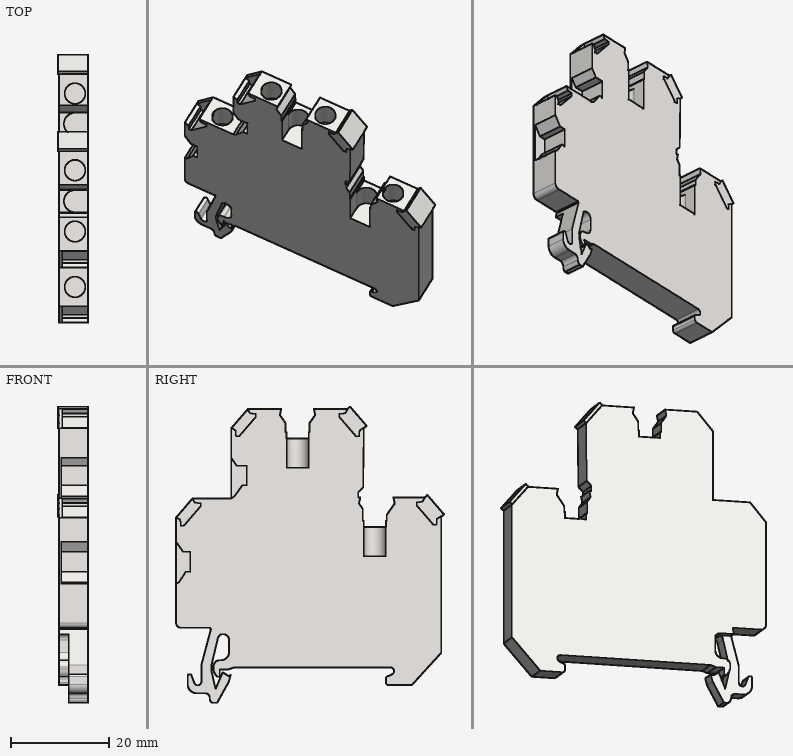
import cadquery as cq
import math


thickness = 6.0
housing_length = 54.05
upper_top = 59.87
rear_top = 41.86
front_top = 41.67
tower_front = 11.25
tower_rear = 38.3
tower_rear_taper = 0.15
corner_run = 3.4
corner_drop = 3.95

relief_top = 43.9
relief_depth_y = 37.15
relief_bevel = 1.0
relief_seat_y = 37.55

block_bottom = 15.26
block_radius = 1.1
rail_seat = 7.18
rear_bevel_start = 10.2
rear_foot_bottom = 3.62
rear_foot_outer = 48.05
rear_foot_inner = 42.75
rear_foot_top = 5.5
rear_foot_radius = 0.55
rail_slot_end = 44.4
rail_slot_radius = 0.7
rail_slot_start_angle = -70

window_rear = 10.8
window_top = 13.95
window_top_radius = 1.1
window_low_radius = 1.6
ledge_top = 8.73
hook_front = 7.62
hook_radius = 1.35
hook_rear = 8.93
hook_bottom = 5.3
hook_tip_radius = 2.1
hook_tip_start = 7.0
step_z = 6.8
step_start = 11.8
step_end = 10.7

foot_side_gap = 2.0
neck_top = (7.1, 15.0)
neck_chamfer = 0.15
shank_front = 5.17
shank_bend_z = 7.75
shank_rear_top = (8.55, 13.1)
shank_round_middle = (8.8, 13.65)
shank_round_start_y = 9.25
shank_rear_bend_y = 7.25
shank_rear_bend_z = (7.65, 6.55)
spring_root = (8.08, 2.9)
latch_inner = (9.5, 6.25)
latch_notch = (10.7, 5.5)
latch_tip = (11.17, 5.7)
latch_outer = (10.8, 4.3)
toe_rear = (8.4, 0.0)
toe_front_y = 6.86
toe_radius = 1.0
toe_turn = 65
lever_bottom = 1.95
lever_fillet = 0.9
lever_front = 2.37
lever_radius = 1.85
lever_top = 5.87
lever_tip_width = 0.86
lever_tip_rounding = 0.4
finger_groove_end = (3.75, 4.15)
finger_groove_bottom = (4.5, 3.6)
finger_groove_start_z = 4.25

screw_x = 3.3
screw_diameter = 4.2
screw_depth = 6.0
screw_sites = [(46.7, rear_top), (31.06, upper_top), (18.6, upper_top), (7.3, front_top)]

notch_depth = 6.0
notch_floor_half = 2.25
notch_wall_half = 2.42
notch_ledge = 1.25
notch_throat = 4.75
notch_funnel_slope = 0.7
notch_undercut = 0.27
upper_notch_y = 24.77
upper_notch_half = 3.57
rear_notch_y = 40.51
rear_notch_half = 4.02
rear_notch_half_tower = 3.2
notch_slot_depth = 6.0

recess_wall = 0.5
recess_sill = 0.65
recess_ceiling_slope = 0.7
recess_ledge = 0.9
upper_recess = dict(
    face_y=tower_front,
    depth=3.18,
    top_z=49.93,
    back_top_z=48.25,
    ledge_z=44.3,
    ramp_z=42.06,
    sill_z=front_top,
)
lower_recess = dict(
    face_y=0,
    depth=2.9,
    top_z=32.87,
    back_top_z=30.8,
    ledge_z=26.68,
    ramp_z=24.6,
    sill_z=24.25,
)

flange = 0.75
lip_tip = 0.02
lip_edge = (0.45, 0.9)
lip_root = (1.65, 1.0)
slot_floor = (1.65, 1.6)
tag_thickness = 0.74
tag_overhang = 0.2
empty_slot_sites = [(0, front_top), (tower_front, upper_top)]
tag_sites = [(tower_rear, upper_top), (housing_length, rear_top)]


def extrude_profile(profile, start, end):
    """Solid between two X positions from a closed YZ profile."""
    return profile.close().extrude(end - start).translate((start, 0, 0))


def yz(point):
    return cq.Workplane("YZ").moveTo(*point)


def arc(profile, centre, radius, start_angle, end_angle):
    """Line to the start of a circular arc, then the arc; angles in degrees from +Y."""
    def at(angle):
        turn = math.radians(angle)
        return (centre[0] + radius * math.cos(turn), centre[1] + radius * math.sin(turn))

    middle = (start_angle + end_angle) / 2
    return profile.lineTo(*at(start_angle)).threePointArc(at(middle), at(end_angle))


def neck_edge_y(z):
    """Slanted -Y edge shared by the neck and the spring foot."""
    top_y, top_z = neck_top
    share = (top_z - z) / (top_z - shank_bend_z)
    return top_y + share * (shank_front - top_y)


def housing_body():
    relief_rear = tower_rear - tower_rear_taper
    outline = (
        yz((0, front_top - corner_drop))
        .lineTo(corner_run, front_top)
        .lineTo(tower_front, front_top)
        .lineTo(tower_front, upper_top - corner_drop)
        .lineTo(tower_front + corner_run, upper_top)
        .lineTo(tower_rear - corner_run, upper_top)
        .lineTo(tower_rear, upper_top - corner_drop)
        .lineTo(relief_rear, relief_top)
        .lineTo(relief_depth_y, relief_top - relief_bevel)
        .lineTo(relief_depth_y, rear_top)
        .lineTo(relief_seat_y, rear_top)
        .lineTo(housing_length - corner_run, rear_top)
        .lineTo(housing_length, rear_top - corner_drop)
        .lineTo(housing_length, rear_bevel_start)
        .lineTo(rear_foot_outer, rear_foot_bottom)
    )
    foot_y = rear_foot_inner + rear_foot_radius
    outline = arc(outline, (foot_y, rear_foot_bottom + rear_foot_radius), rear_foot_radius, 270, 180)
    outline = arc(outline, (foot_y, rear_foot_top - rear_foot_radius), rear_foot_radius, 180, 90)
    slot_centre = (rail_slot_end - rail_slot_radius, rail_seat - rail_slot_radius)
    outline = arc(outline, slot_centre, rail_slot_radius, rail_slot_start_angle, 90)
    outline = (
        outline.lineTo(step_start, rail_seat)
        .lineTo(step_end, step_z)
        .lineTo(hook_rear, step_z)
        .lineTo(hook_rear, hook_bottom)
    )
    tip_turn = math.degrees(math.asin((hook_tip_start - hook_bottom) / hook_tip_radius))
    tip_centre = (hook_front + hook_tip_radius, hook_tip_start)
    outline = arc(outline, tip_centre, hook_tip_radius, 180 + tip_turn, 180)
    outline = arc(outline, (hook_front + hook_radius, ledge_top - hook_radius), hook_radius, 180, 90)
    low_centre = (window_rear - window_low_radius, ledge_top + window_low_radius)
    outline = arc(outline, low_centre, window_low_radius, -90, 0)
    top_centre = (window_rear - window_top_radius, window_top - window_top_radius)
    outline = arc(outline, top_centre, window_top_radius, 0, 90)
    outline = (
        outline.lineTo(neck_edge_y(window_top), window_top)
        .lineTo(*neck_top)
        .lineTo(neck_top[0] - neck_chamfer, block_bottom)
    )
    outline = arc(outline, (block_radius, block_bottom + block_radius), block_radius, 270, 180)
    return extrude_profile(outline, 0, thickness)


def spring_foot():
    bend_high, bend_low = shank_rear_bend_z
    profile = (
        yz((neck_edge_y(window_top), window_top))
        .lineTo(shank_round_start_y, window_top)
        .threePointArc(shank_round_middle, shank_rear_top)
        .lineTo(shank_rear_bend_y, bend_high)
        .lineTo(shank_rear_bend_y, bend_low)
        .lineTo(*spring_root)
        .lineTo(*latch_inner)
        .lineTo(*latch_notch)
        .lineTo(*latch_tip)
        .lineTo(*latch_outer)
        .lineTo(*toe_rear)
    )
    toe_centre = (toe_front_y + toe_radius, toe_radius * math.sin(math.radians(toe_turn)))
    profile = arc(profile, toe_centre, toe_radius, 180 + toe_turn, 180)
    fillet_centre = (toe_front_y - lever_fillet, lever_bottom - lever_fillet)
    profile = arc(profile, fillet_centre, lever_fillet, 0, 90)
    lever_centre = (lever_front + lever_radius, lever_bottom + lever_radius)
    profile = arc(profile, lever_centre, lever_radius, 270, 180)
    profile = (
        profile.lineTo(lever_front, lever_top - lever_tip_rounding)
        .threePointArc(
            (lever_front + lever_tip_width / 2, lever_top),
            (lever_front + lever_tip_width, lever_top - lever_tip_rounding),
        )
        .lineTo(*finger_groove_end)
        .threePointArc(finger_groove_bottom, (shank_front, finger_groove_start_z))
        .lineTo(shank_front, shank_bend_z)
    )
    return extrude_profile(profile, foot_side_gap, thickness)


def notch(centre_y, top_z, front_half, rear_half):
    """Funnel-mouthed notch across the full thickness, with a round-ended slot in its floor."""
    floor_z = top_z - notch_depth

    def half_profile(side, throat_half):
        funnel_foot = notch_throat - (throat_half - notch_wall_half) / notch_funnel_slope
        offsets = [
            (notch_floor_half, 0),
            (notch_floor_half, notch_ledge),
            (notch_wall_half, notch_ledge),
            (notch_wall_half, funnel_foot),
            (throat_half, notch_throat),
            (throat_half - notch_undercut, notch_depth),
        ]
        return [(centre_y + side * y, floor_z + z) for y, z in offsets]

    points = half_profile(1, rear_half) + half_profile(-1, front_half)[::-1]
    opening = extrude_profile(cq.Workplane("YZ").polyline(points), 0, thickness)
    slot = (
        cq.Workplane("XY", origin=(0, 0, floor_z))
        .moveTo(thickness, centre_y - notch_floor_half)
        .lineTo(screw_x, centre_y - notch_floor_half)
        .threePointArc(
            (screw_x - notch_floor_half, centre_y),
            (screw_x, centre_y + notch_floor_half),
        )
        .lineTo(thickness, centre_y + notch_floor_half)
        .close()
        .extrude(-notch_slot_depth)
    )
    return opening.union(slot)


def wire_recess(face_y, depth, top_z, back_top_z, ledge_z, ramp_z, sill_z):
    """Funnel recess in a -Y face, open at the +X side."""
    points = [
        (face_y, top_z),
        (face_y + recess_ceiling_slope * (top_z - back_top_z), back_top_z),
        (face_y + depth, back_top_z),
        (face_y + depth, ledge_z),
        (face_y + depth - recess_ledge, ledge_z),
        (face_y + recess_sill, ramp_z),
        (face_y, sill_z),
    ]
    return extrude_profile(cq.Workplane("YZ").polyline(points), recess_wall, thickness)


def screw_hole(y, top_z):
    return (
        cq.Workplane("XY", origin=(screw_x, y, top_z))
        .circle(screw_diameter / 2)
        .extrude(-screw_depth)
    )


def marker_slot(face_y, top_z, inward):
    """T-shaped slot along a bevelled corner; inward is +1 or -1 along Y."""
    tip_run = lip_tip * corner_run
    tip_drop = lip_tip * corner_drop
    offsets = [(corner_run - tip_run, -tip_drop)]
    offsets += [(corner_run + across, -along) for across, along in (lip_edge, lip_root, slot_floor)]
    offsets += [(along, -corner_drop - across) for across, along in (slot_floor, lip_root, lip_edge)]
    offsets += [(tip_run, tip_drop - corner_drop)]
    points = [(face_y + inward * y, top_z + z) for y, z in offsets]
    return extrude_profile(cq.Workplane("YZ").polyline(points), flange, thickness)


def build_housing():
    body = housing_body().union(spring_foot())
    body = body.cut(notch(upper_notch_y, upper_top, upper_notch_half, upper_notch_half))
    body = body.cut(notch(rear_notch_y, rear_top, rear_notch_half_tower, rear_notch_half))
    for recess in (upper_recess, lower_recess):
        body = body.cut(wire_recess(**recess))
    for y, top_z in screw_sites:
        body = body.cut(screw_hole(y, top_z))
    for face_y, top_z in empty_slot_sites:
        body = body.cut(marker_slot(face_y, top_z, 1))
    for face_y, top_z in tag_sites:
        body = body.cut(marker_slot(face_y, top_z, -1))
    return body


def marker_tag(face_y, top_z):
    """Plate lying on a +Y bevel, with a foot that fills the marker slot below it."""
    bevel_length = math.hypot(corner_run, corner_drop)
    rise_y = tag_thickness * corner_drop / bevel_length
    rise_z = tag_thickness * corner_run / bevel_length
    low = (face_y, top_z - corner_drop)
    high = (face_y - corner_run, top_z)
    points = [low, (low[0] + rise_y, low[1] + rise_z), (high[0] + rise_y, high[1] + rise_z), high]
    plate = extrude_profile(cq.Workplane("YZ").polyline(points), -tag_overhang, thickness)
    return plate.union(marker_slot(face_y, top_z, -1))


housing = build_housing().solids()
marker_tags = [marker_tag(face_y, top_z).solids() for face_y, top_z in tag_sites]

result = cq.Compound.makeCompound([housing.val(), *[tag.val() for tag in marker_tags]])